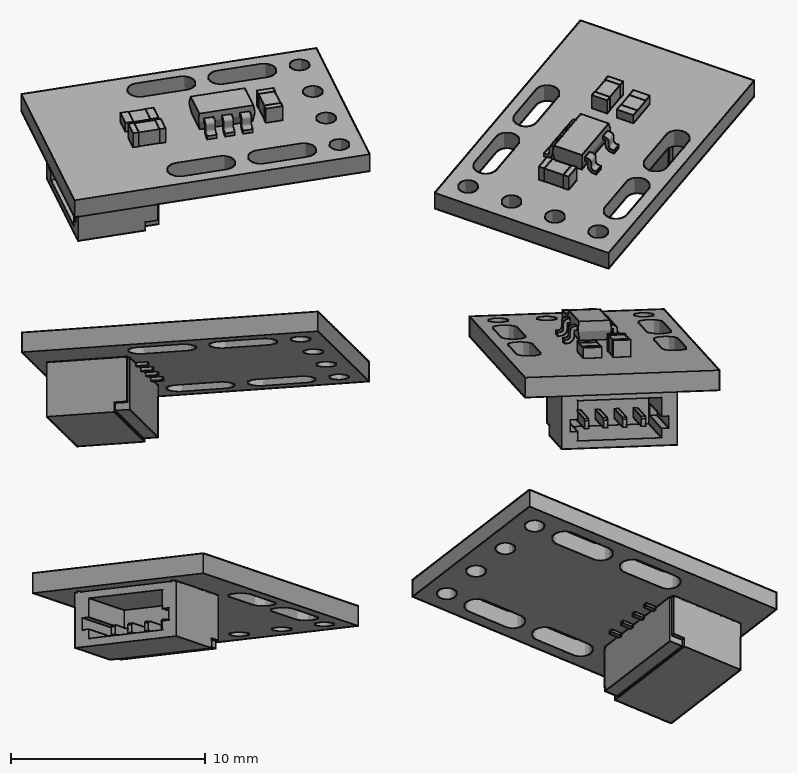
import cadquery as cq
import math


board_width = 10.16
board_length = 15.75
board_thickness = 1.05

pin_hole_count = 4
pin_hole_pitch = 2.54
pin_hole_diameter = 1.02
pin_hole_y = board_length / 2 - 1.26

slot_width = 1.28
slot_length = 3.58
slot_x = (pin_hole_count - 1) / 2 * pin_hole_pitch
slot_pitch = 4.32
slot_middle_y = 1.4

chip_y = 1.42
chip_width = 1.73
chip_length = 3.0
chip_height = 1.18
chip_bottom = 0.17
band_bottom = 0.66
band_top = 0.88
chip_draft_angle = 10.0

right_lead_count = 3
lead_width = 0.52
lead_pitch = 0.96
lead_thickness = 0.2
lead_reach = 1.53
lead_shank_x = 1.23
knee_radius = 0.24
foot_radius = 0.19

capacitor_length = 1.73
capacitor_width = 0.9
capacitor_height = 0.88
capacitor_cap = 0.32
capacitor_inset = 0.02
capacitor_across_y = 3.95
capacitor_along_x = 0.75
capacitor_along_y = -2.8
resistor_length = 1.78
resistor_width = 0.96
resistor_height = 0.55
resistor_cap = 0.44
resistor_inset = 0.02
resistor_x = -0.77
resistor_y = -2.77

housing_width = 6.03
housing_front_y = -7.1
housing_rear_y = -2.85
housing_drop = 2.95
housing_gap = 0.05
rear_step_drop = 2.43
rear_step_y = -3.51
rear_block_width = 5.64
rear_block_y = -2.74
rear_block_drop = 2.82
rail_inner_x = 2.71
rail_outer_x = 2.9
cavity_width = 4.38
cavity_top = -0.43
cavity_bottom = -2.54
cavity_rear_y = -3.51
groove_span = 5.13
groove_rear_y = -3.78
groove_top = -1.42
groove_bottom = -2.05

contact_count = 4
contact_pitch = 1.0
contact_width = 0.22
contact_top = -1.67
contact_bottom = -2.17
contact_tip_y = -5.83
contact_chamfer = 0.1
tail_end_y = -2.13
tail_thickness = 0.17


def block(x_range, y_range, z_range):
    """Axis-aligned block between the given pairs of coordinates."""
    size = [high - low for low, high in (x_range, y_range, z_range)]
    corner = (x_range[0], y_range[0], z_range[0])
    return cq.Workplane("XY").box(*size, centered=False).translate(corner)


def centred_block(width, y_range, z_range):
    """Block placed symmetrically about X = 0."""
    return block((-width / 2, width / 2), y_range, z_range)


def spaced(count, pitch):
    """Evenly spaced positions centred on zero."""
    return [(i - (count - 1) / 2) * pitch for i in range(count)]


def polar_point(centre, radius, degrees):
    """Point on a circle, at an angle counted from its first axis."""
    angle = math.radians(degrees)
    return (centre[0] + radius * math.cos(angle), centre[1] + radius * math.sin(angle))


def make_board():
    board = centred_block(board_width, (-board_length / 2, board_length / 2), (0, board_thickness))
    hole_points = [(x, pin_hole_y) for x in spaced(pin_hole_count, pin_hole_pitch)]
    holes = cq.Workplane("XY").pushPoints(hole_points).circle(pin_hole_diameter / 2)
    slot_points = [(x, slot_middle_y + y) for x in (-slot_x, slot_x) for y in spaced(2, slot_pitch)]
    slots = cq.Workplane("XY").pushPoints(slot_points).slot2D(slot_length, slot_width, 90)
    return board.cut(holes.extrude(board_thickness)).cut(slots.extrude(board_thickness))


def make_lead():
    """Gull-wing lead on the +X side, centred on Y = 0 and standing on Z = 0."""
    shank_inner_x = lead_shank_x - lead_thickness
    knee_x = lead_shank_x - knee_radius
    knee_z = band_top - knee_radius
    knee_inner_radius = knee_radius - lead_thickness
    foot_x = lead_shank_x + foot_radius
    foot_z = lead_thickness + foot_radius
    foot_outer_radius = foot_radius + lead_thickness
    knee_centre = (knee_x, knee_z)
    foot_centre = (foot_x, foot_z)
    profile = (
        cq.Workplane("XZ")
        .moveTo(0, band_top)
        .lineTo(knee_x, band_top)
        .threePointArc(polar_point(knee_centre, knee_radius, 45), (lead_shank_x, knee_z))
        .lineTo(lead_shank_x, foot_z)
        .threePointArc(polar_point(foot_centre, foot_radius, 225), (foot_x, lead_thickness))
        .lineTo(lead_reach, lead_thickness)
        .lineTo(lead_reach, 0)
        .lineTo(foot_x, 0)
        .threePointArc(polar_point(foot_centre, foot_outer_radius, 225), (shank_inner_x, foot_z))
        .lineTo(shank_inner_x, knee_z)
        .threePointArc(polar_point(knee_centre, knee_inner_radius, 45), (knee_x, knee_z + knee_inner_radius))
        .lineTo(0, knee_z + knee_inner_radius)
        .close()
    )
    return profile.extrude(lead_width / 2, both=True)


def make_chip():
    """Moulded body tapering above and below a straight band, two leads on -X and three on +X."""
    def body_part(bottom, height, draft_angle):
        outline = cq.Workplane("XY").workplane(offset=bottom).rect(chip_width, chip_length)
        return outline.extrude(height, taper=draft_angle)

    chip = body_part(band_bottom, band_top - band_bottom, 0)
    chip = chip.union(body_part(band_top, chip_height - band_top, chip_draft_angle))
    chip = chip.union(body_part(band_bottom, chip_bottom - band_bottom, chip_draft_angle))
    right_lead = make_lead()
    left_lead = right_lead.mirror("YZ")
    for y in spaced(right_lead_count, lead_pitch):
        chip = chip.union(right_lead.translate((0, y, 0)))
    for y in spaced(2, (right_lead_count - 1) * lead_pitch):
        chip = chip.union(left_lead.translate((0, y, 0)))
    return chip.translate((0, chip_y, board_thickness))


def make_two_terminal(length, width, height, cap, side_inset, top_inset):
    """Chip component along Y: two end caps with a slightly smaller body between them."""
    ends = (-length / 2, length / 2)
    body = centred_block(width - 2 * side_inset, ends, (0, height - top_inset))
    for low, high in ((ends[0], ends[0] + cap), (ends[1] - cap, ends[1])):
        body = body.union(centred_block(width, (low, high), (0, height)))
    return body


def make_passives():
    capacitor = make_two_terminal(
        capacitor_length, capacitor_width, capacitor_height, capacitor_cap, capacitor_inset, capacitor_inset
    )
    resistor = make_two_terminal(
        resistor_length, resistor_width, resistor_height, resistor_cap, 0, resistor_inset
    )
    across = capacitor.rotate((0, 0, 0), (0, 0, 1), 90).translate((0, capacitor_across_y, board_thickness))
    along = capacitor.translate((capacitor_along_x, capacitor_along_y, board_thickness))
    return [across, along, resistor.translate((resistor_x, resistor_y, board_thickness))]


def make_housing():
    """Connector shell open towards -Y, held just off the board by two rails."""
    upper = centred_block(housing_width, (housing_front_y, housing_rear_y), (-rear_step_drop, -housing_gap))
    lower = centred_block(housing_width, (housing_front_y, rear_step_y), (-housing_drop, -rear_step_drop))
    rear = centred_block(rear_block_width, (rear_step_y, rear_block_y), (-rear_block_drop, -housing_gap))
    housing = upper.union(lower).union(rear)
    for low, high in ((-rail_outer_x, -rail_inner_x), (rail_inner_x, rail_outer_x)):
        housing = housing.union(block((low, high), (housing_front_y, housing_rear_y), (-housing_gap, 0)))
    cavity_y = (housing_front_y, cavity_rear_y)
    cavity = centred_block(cavity_width, cavity_y, (cavity_bottom, cavity_top))
    groove_y = (housing_front_y, groove_rear_y)
    grooves = centred_block(groove_span, groove_y, (groove_bottom, groove_top))
    return housing.cut(cavity).cut(grooves)


def make_contact():
    """Contact blade in the cavity and its solder tail behind the housing, centred on X = 0."""
    blade = centred_block(contact_width, (contact_tip_y, cavity_rear_y), (contact_bottom, contact_top))
    blade = blade.faces("<Y").edges(">Z").chamfer(contact_chamfer)
    tail = centred_block(contact_width, (rear_block_y, tail_end_y), (-tail_thickness, 0))
    return blade, tail


def make_connector():
    connector = make_housing()
    for x in spaced(contact_count, contact_pitch):
        for piece in make_contact():
            connector = connector.union(piece.translate((x, 0, 0)))
    return connector


result = make_board().union(make_chip()).union(make_connector())
for passive in make_passives():
    result = result.union(passive)